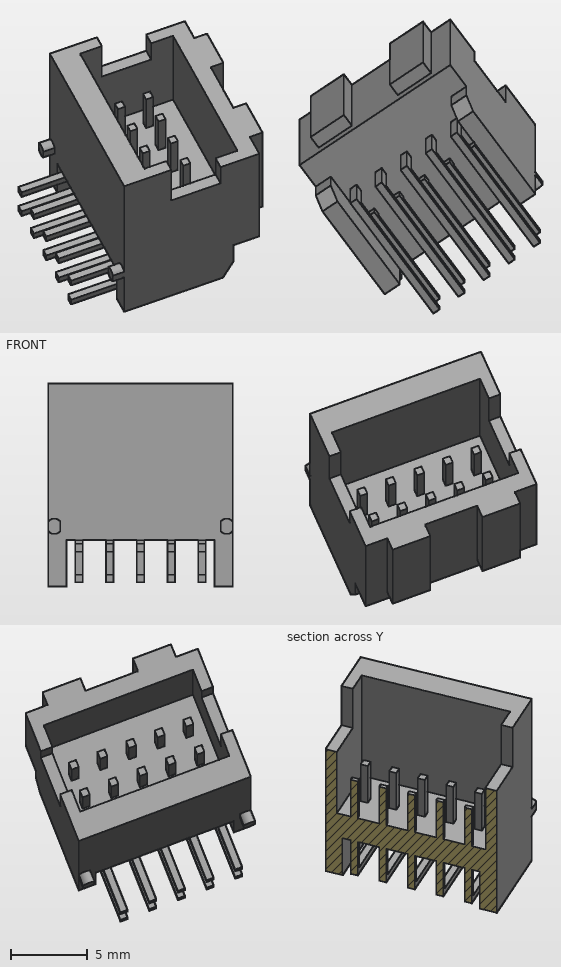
import cadquery as cq


width = 12.0
depth = 9.6
front_height = 13.2
rear_height = 11.7
block_bottom = 3.02

leg_thickness = 1.2
leg_depth = 7.78
leg_chamfer_depth = 0.75
leg_chamfer_height = 1.35

pin_field_y = 5.1
cavity_width = 10.4
cavity_depth = 6.6
cavity_floor = 5

notch_width = 3.5
notch_floor = 10.0
notch_front = pin_field_y - notch_width / 2
notch_rear = pin_field_y + notch_width / 2

rib_width = 2.65
rib_depth = 0.9
rib_bottom = 3.92
rib_spacing = 6.3

peg_width = 0.8
peg_diameter = 1.0
peg_length = 0.8
peg_z = 3.92

pin_size = 0.5
pin_pitch = 2.0
pins_per_row = 5
pin_top = 8.0
pin_reach = 3.0
lower_tail_z = 0.53


def box(x_size, y_range, z_range, x_center=0):
    """Block centred on x_center that spans the given Y and Z ranges."""
    y_size = y_range[1] - y_range[0]
    z_size = z_range[1] - z_range[0]
    block = cq.Workplane("XY").box(x_size, y_size, z_size, centered=(True, False, False))
    return block.translate((x_center, y_range[0], z_range[0]))


def make_housing():
    """Side profile across the full width, hollowed from above and opened between the legs."""
    profile = [
        (0, 0),
        (leg_depth - leg_chamfer_depth, 0),
        (leg_depth, leg_chamfer_height),
        (leg_depth, block_bottom),
        (depth, block_bottom),
        (depth, rear_height),
        (notch_rear, rear_height),
        (notch_rear, notch_floor),
        (notch_front, notch_floor),
        (notch_front, front_height),
        (0, front_height),
    ]
    housing = cq.Workplane("YZ").polyline(profile).close().extrude(width / 2, both=True)
    cavity_y = (pin_field_y - cavity_depth / 2, pin_field_y + cavity_depth / 2)
    cavity = box(cavity_width, cavity_y, (cavity_floor, front_height))
    leg_gap = box(width - 2 * leg_thickness, (0, depth), (0, block_bottom))
    return housing.cut(cavity).cut(leg_gap)


def make_rib(x):
    return box(rib_width, (depth, depth + rib_depth), (rib_bottom, rear_height), x)


def make_peg(x):
    """Round peg with a flat on each side, one of them flush with the housing side."""
    round_peg = cq.Workplane("XZ", origin=(x, 0, peg_z)).circle(peg_diameter / 2).extrude(peg_length)
    z_range = (peg_z - peg_diameter / 2, peg_z + peg_diameter / 2)
    return round_peg.intersect(box(peg_width, (-peg_length, 0), z_range, x))


def make_pin(x, y, tail_z):
    """L-shaped pin: a post up into the socket and a tail out through the front."""
    half = pin_size / 2
    post = box(pin_size, (y - half, y + half), (tail_z - half, pin_top), x)
    tail = box(pin_size, (-pin_reach, y + half), (tail_z - half, tail_z + half), x)
    return post.union(tail)


result = make_housing()

for side in (-1, 1):
    result = result.union(make_rib(side * rib_spacing / 2))
    result = result.union(make_peg(side * (width - peg_width) / 2))

for column in range(pins_per_row):
    pin_x = (column - (pins_per_row - 1) / 2) * pin_pitch
    result = result.union(make_pin(pin_x, pin_field_y - pin_pitch / 2, lower_tail_z + pin_pitch))
    result = result.union(make_pin(pin_x, pin_field_y + pin_pitch / 2, lower_tail_z))